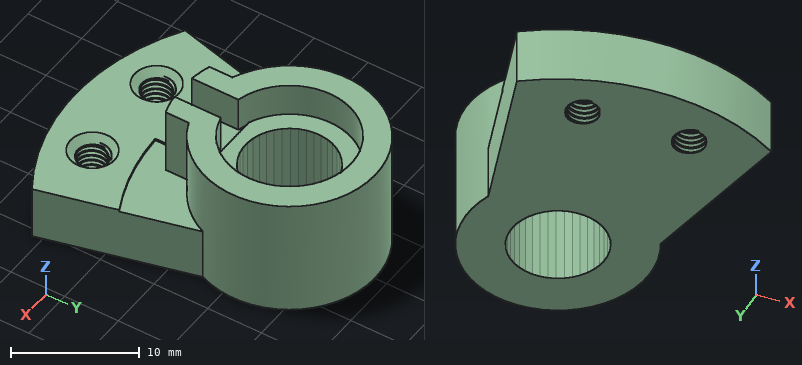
import cadquery as cq
import math

overall_length = 27.93

hub_radius = 7.95
hub_height = 11.0
bore_radius = 4.08
bore_sides = 40
bore_first_corner = 6
pocket_radius = 5.7
pocket_depth = 3.05

plate_radius = overall_length - hub_radius
plate_height = 5.03
plate_corner_x = 10.75
plate_corner_y = -math.sqrt(plate_radius**2 - plate_corner_x**2)
plate_root_x = 6.45

recess_depth = 0.17
recess_floor = plate_height - recess_depth
recess_arc_shift = hub_radius

lug_end_radius = 9.97
lug_outer_x = 3.07
slot_width = 2.45
slot_floor = hub_height - pocket_depth - recess_depth
slot_start_y = -5.25
slot_floor_end_y = -math.sqrt(lug_end_radius**2 - lug_outer_x**2)
rib_width = 1.45

hole_x = 4.5
hole_y = -15.33
thread_minor_radius = 1.28
thread_major_radius = 1.5
thread_pitch = 0.5
countersink_radius = 2.05
countersink_depth = 0.67
groove_half_height = 0.4 * thread_pitch
thread_start_angle = -150
groove_overlap = 0.03


def cylinder(radius, bottom, top):
    return cq.Workplane("XY").workplane(offset=bottom).circle(radius).extrude(top - bottom)


def block(half_width, y_near, y_far, bottom, top):
    """Box centred on X, running from y_near to y_far and from bottom to top."""
    return (
        cq.Workplane("XY")
        .workplane(offset=bottom)
        .moveTo(0, (y_near + y_far) / 2)
        .rect(2 * half_width, abs(y_far - y_near))
        .extrude(top - bottom)
    )


def make_bore():
    """Through bore with narrow flat facets."""
    return (
        cq.Workplane("XY")
        .polygon(bore_sides, 2 * bore_radius)
        .extrude(hub_height)
        .rotate((0, 0, 0), (0, 0, 1), bore_first_corner)
    )


def make_plate():
    outline = (
        cq.Workplane("XY")
        .moveTo(-plate_root_x, 0)
        .lineTo(-plate_corner_x, plate_corner_y)
        .threePointArc((0, -plate_radius), (plate_corner_x, plate_corner_y))
        .lineTo(plate_root_x, 0)
        .close()
    )
    plate = outline.extrude(plate_height)
    recess = cylinder(plate_radius, recess_floor, plate_height).translate((0, recess_arc_shift, 0))
    rib = block(rib_width / 2, 0, recess_arc_shift - plate_radius, 0, plate_height)
    return plate.cut(recess).union(rib)


def make_hub():
    """Ring body with two lugs, split by a slot that opens the pocket toward the plate."""
    hub = cylinder(hub_radius, 0, hub_height)
    lug_limit = cylinder(lug_end_radius, recess_floor, hub_height)
    lugs = block(lug_outer_x, 0, -lug_end_radius, recess_floor, hub_height).intersect(lug_limit)
    pocket = cylinder(pocket_radius, hub_height - pocket_depth, hub_height)
    pocket_step = cylinder(pocket_radius, slot_floor, hub_height).intersect(
        block(pocket_radius, slot_start_y, -pocket_radius, slot_floor, hub_height)
    )
    slot = block(slot_width / 2, slot_start_y, -lug_end_radius, slot_floor, hub_height)
    lug_gap = block(slot_width / 2, slot_floor_end_y, -lug_end_radius, recess_floor, hub_height)
    return hub.union(lugs).cut(pocket).cut(pocket_step).cut(slot).cut(lug_gap)


def make_hole_cutter():
    """Drilled hole, helical thread groove and countersink, standing on the XY plane."""
    drill = cylinder(thread_minor_radius, 0, plate_height)
    countersink = (
        cq.Workplane("XZ")
        .moveTo(0, plate_height)
        .lineTo(countersink_radius, plate_height)
        .lineTo(countersink_radius - countersink_depth, plate_height - countersink_depth)
        .lineTo(0, plate_height - countersink_depth)
        .close()
        .revolve(360, (0, 0, 0), (0, 1, 0))
    )
    groove_base = thread_minor_radius - groove_overlap
    helix_height = plate_height + thread_pitch
    helix = cq.Wire.makeHelix(thread_pitch, helix_height, groove_base)
    groove = (
        cq.Workplane("XZ")
        .moveTo(groove_base, -groove_half_height)
        .lineTo(thread_major_radius, 0)
        .lineTo(groove_base, groove_half_height)
        .close()
        .sweep(cq.Workplane(obj=helix), isFrenet=True)
        .translate((0, 0, -thread_pitch))
        .rotate((0, 0, 0), (0, 0, 1), thread_start_angle)
    )
    groove_top = plate_height - countersink_depth / 2
    groove = groove.intersect(cylinder(countersink_radius, 0, groove_top))
    return drill.union(groove).union(countersink)


result = make_plate().union(make_hub()).cut(make_bore())
hole_cutter = make_hole_cutter()
for x in (-hole_x, hole_x):
    result = result.cut(hole_cutter.translate((x, hole_y, 0)))